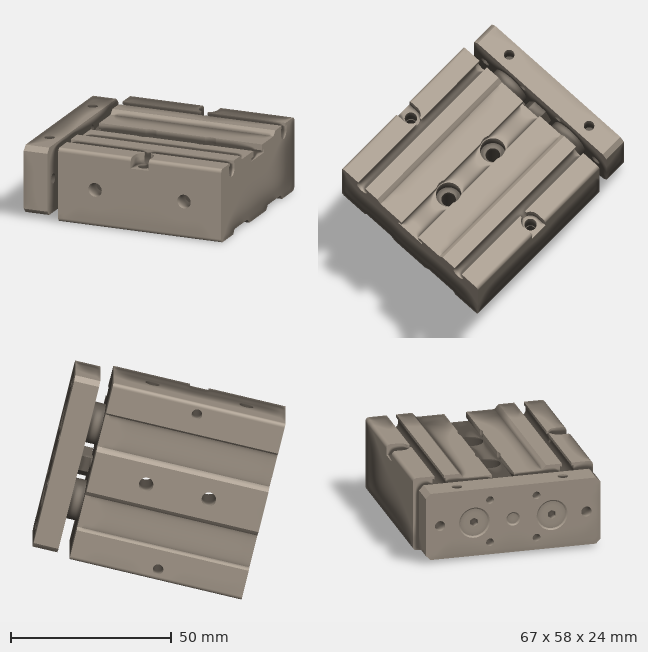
import cadquery as cq
import math

OVERLAP = 0.7

total_length = 67.0
plate_thickness = 8.0
plate_width = 56.4
plate_height = 22.0
plate_chamfer = 1.55

guide_spacing = 25.05
guide_diameter = 13.0
guide_recess_diameter = 9.0
guide_recess_mouth = 10.0
guide_recess_depth = 0.4
hex_socket_corners = 2.95
hex_socket_depth = 2.0

nut_across_flats = 8.0
nut_length = 3.5
piston_rod_diameter = 4.5
piston_recess_diameter = 3.5
piston_recess_mouth = 4.5
piston_recess_depth = 0.4

dowel_spacing = 47.2
dowel_diameter = 3.3
screw_spacing_y = 15.0
screw_spacing_z = 14.0
screw_diameter = 2.5
top_hole_spacing = 34.1
top_hole_diameter = 3.3
top_hole_depth = 6.0

plate_gap = 4.0
housing_front = plate_thickness + plate_gap
housing_length = total_length - housing_front
housing_middle = housing_front + housing_length / 2
housing_width = 58.0
housing_height = 24.0
housing_top = housing_height / 2
edge_fillet = 1.2

relief_depth = 1.5
top_relief_half_width = 14.0
bottom_relief_inner = 6.55
bottom_relief_outer = 19.3
bottom_relief_outer_run = 0.8

channel_neck_width = 7.1
channel_width = 10.05
channel_lip = 1.95
channel_depth = 4.5

sensor_slot_y = 20.6
sensor_neck_width = 3.1
sensor_neck_depth = 1.0
sensor_lip_rise = 0.2
sensor_slot_width = 4.3
sensor_slot_depth = 4.75

bolt_spacing = 20.0
first_bolt_offset = 17.5
bolt_diameter = 4.5
bolt_head_diameter = 8.0
bolt_head_depth = 8.9

pocket_y = 25.5
pocket_width = 6.0
pocket_depth = 3.5
pocket_hole_diameter = 3.3
pocket_counterbore_diameter = 3.8
pocket_counterbore_depth = 6.0
notch_width = 2.15

port_spacing = 30.0
first_port_offset = 12.45
port_diameter = 4.5
port_depth = 6.0
port_bore_diameter = 2.5
port_bore_depth = 9.4


def mirrored(distance):
    """The two places at equal distances from the middle."""
    return (-distance / 2, distance / 2)


def rod(x_start, length, diameter, y=0.0, z=0.0):
    """A cylinder along +X."""
    return cq.Workplane("YZ", origin=(x_start, y, z)).circle(diameter / 2).extrude(length)


def tapered_recess(diameter, mouth, depth, y):
    """A conical recess in the front of the plate, narrowing inwards."""
    return (
        cq.Workplane("YZ", origin=(0, y, 0))
        .circle(mouth / 2)
        .workplane(offset=depth)
        .circle(diameter / 2)
        .loft(combine=True)
    )


def hex_socket(y):
    """A blind hexagonal key socket in a guide rod end, with corners at top and bottom."""
    return (
        cq.Workplane("YZ", origin=(guide_recess_depth, y, 0))
        .transformed(rotate=(0, 0, 90))
        .polygon(6, hex_socket_corners)
        .extrude(hex_socket_depth)
    )


def make_moving_plate():
    plate = (
        cq.Workplane("XY")
        .box(plate_thickness, plate_width, plate_height)
        .translate((plate_thickness / 2, 0, 0))
        .edges("|X")
        .chamfer(plate_chamfer)
    )

    for y in mirrored(guide_spacing):
        plate = plate.union(rod(plate_thickness, plate_gap, guide_diameter, y))
    plate = plate.union(rod(plate_thickness, plate_gap, piston_rod_diameter))

    nut_corners = nut_across_flats / math.cos(math.radians(30))
    nut = cq.Workplane("YZ", origin=(plate_thickness, 0, 0)).polygon(6, nut_corners).extrude(nut_length)
    plate = plate.union(nut)

    for y in mirrored(guide_spacing):
        plate = plate.cut(tapered_recess(guide_recess_diameter, guide_recess_mouth, guide_recess_depth, y))
        plate = plate.cut(hex_socket(y))
    plate = plate.cut(tapered_recess(piston_recess_diameter, piston_recess_mouth, piston_recess_depth, 0))

    for y in mirrored(dowel_spacing):
        plate = plate.cut(rod(0, plate_thickness, dowel_diameter, y))
    for y in mirrored(screw_spacing_y):
        for z in mirrored(screw_spacing_z):
            plate = plate.cut(rod(0, plate_thickness, screw_diameter, y, z))

    for y in mirrored(top_hole_spacing):
        hole = cylinder_down(plate_thickness / 2, y, plate_height / 2, top_hole_diameter, top_hole_depth)
        plate = plate.cut(hole)
    return plate


def cylinder_down(x, y, z_top, diameter, depth):
    """A cylinder running down from z_top."""
    return cq.Workplane("XY", origin=(x, y, z_top)).circle(diameter / 2).extrude(-depth)


def along_housing(points):
    """A (Y, Z) polygon extruded over the whole length of the housing."""
    profile = cq.Workplane("YZ", origin=(housing_front, 0, 0))
    return profile.polyline(points).close().extrude(housing_length)


def top_relief():
    """The wide shallow recess in the top, with 45 degree sides."""
    mouth = top_relief_half_width
    floor = top_relief_half_width - relief_depth
    floor_z = housing_top - relief_depth
    return along_housing([(-mouth, housing_top), (mouth, housing_top), (floor, floor_z), (-floor, floor_z)])


def bottom_relief(side):
    """A recess between the middle foot and an outer foot; side is -1 or 1."""
    floor_z = -housing_top + relief_depth
    return along_housing(
        [
            (side * bottom_relief_inner, -housing_top),
            (side * bottom_relief_outer, -housing_top),
            (side * (bottom_relief_outer - bottom_relief_outer_run), floor_z),
            (side * (bottom_relief_inner + relief_depth), floor_z),
        ]
    )


def bolt_channel():
    """The T-shaped channel along the middle of the top."""
    neck = channel_neck_width / 2
    wide = channel_width / 2
    lip_z = housing_top - relief_depth - channel_lip
    floor_z = housing_top - channel_depth
    return along_housing(
        [
            (-neck, housing_top),
            (neck, housing_top),
            (neck, lip_z),
            (wide, lip_z),
            (wide, floor_z),
            (-wide, floor_z),
            (-wide, lip_z),
            (-neck, lip_z),
        ]
    )


def sensor_slot(y):
    """A round-bottomed sensor slot; the undersides of its neck lips rise outwards."""
    neck = sensor_neck_width / 2
    wide = sensor_slot_width / 2
    lip_z = housing_top - sensor_neck_depth
    corner_z = lip_z + sensor_lip_rise
    bottom_z = housing_top - sensor_slot_depth
    round_z = bottom_z + wide
    return (
        cq.Workplane("YZ", origin=(housing_front, y, 0))
        .moveTo(-neck, housing_top)
        .lineTo(neck, housing_top)
        .lineTo(neck, lip_z)
        .lineTo(wide, corner_z)
        .lineTo(wide, round_z)
        .threePointArc((0, bottom_z), (-wide, round_z))
        .lineTo(-wide, corner_z)
        .lineTo(-neck, lip_z)
        .close()
        .extrude(housing_length)
    )


def bolt_hole(x):
    """A through hole with a counterbore that is open to the top."""
    through = cylinder_down(x, 0, housing_top, bolt_diameter, housing_height)
    return through.union(cylinder_down(x, 0, housing_top, bolt_head_diameter, bolt_head_depth))


def side_pocket(side):
    """A round-ended pocket open to one long side, with a stepped hole and a notch to the sensor slot."""
    floor_z = housing_top - pocket_depth
    y = side * pocket_y
    outer_y = side * (housing_width / 2 + OVERLAP)
    slot_y = side * sensor_slot_y
    pocket = cylinder_down(housing_middle, y, housing_top, pocket_width, pocket_depth)
    pocket = pocket.union(box_down(y, outer_y, pocket_width, pocket_depth))
    pocket = pocket.union(box_down(slot_y, y, notch_width, sensor_neck_depth))
    pocket = pocket.union(cylinder_down(housing_middle, y, floor_z, pocket_hole_diameter, housing_height))
    counterbore = cylinder_down(
        housing_middle, y, floor_z, pocket_counterbore_diameter, pocket_counterbore_depth
    )
    return pocket.union(counterbore)


def box_down(y_start, y_end, width, depth):
    """A box at the middle of the housing, between two Y places, running down from the top."""
    box = cq.Workplane("XY").box(width, abs(y_end - y_start), depth)
    return box.translate((housing_middle, (y_start + y_end) / 2, housing_top - depth / 2))


def side_port(x):
    """A stepped blind port in the -Y side."""
    face = cq.Workplane("XZ", origin=(x, -housing_width / 2, 0))
    port = face.circle(port_diameter / 2).extrude(-port_depth)
    return port.union(face.circle(port_bore_diameter / 2).extrude(-port_bore_depth))


def make_housing():
    housing = (
        cq.Workplane("XY")
        .box(housing_length, housing_width, housing_height)
        .translate((housing_middle, 0, 0))
        .edges("|X")
        .fillet(edge_fillet)
    )
    housing = housing.cut(top_relief()).cut(bolt_channel())
    for side in (-1, 1):
        housing = housing.cut(bottom_relief(side))
        housing = housing.cut(sensor_slot(side * sensor_slot_y))
        housing = housing.cut(side_pocket(side))

    first_bolt_x = housing_front + first_bolt_offset
    first_port_x = housing_front + first_port_offset
    for x in (first_bolt_x, first_bolt_x + bolt_spacing):
        housing = housing.cut(bolt_hole(x))
    for x in (first_port_x, first_port_x + port_spacing):
        housing = housing.cut(side_port(x))
    return housing


moving_plate = make_moving_plate()
housing = make_housing()
result = cq.Compound.makeCompound([moving_plate.val(), housing.val()])